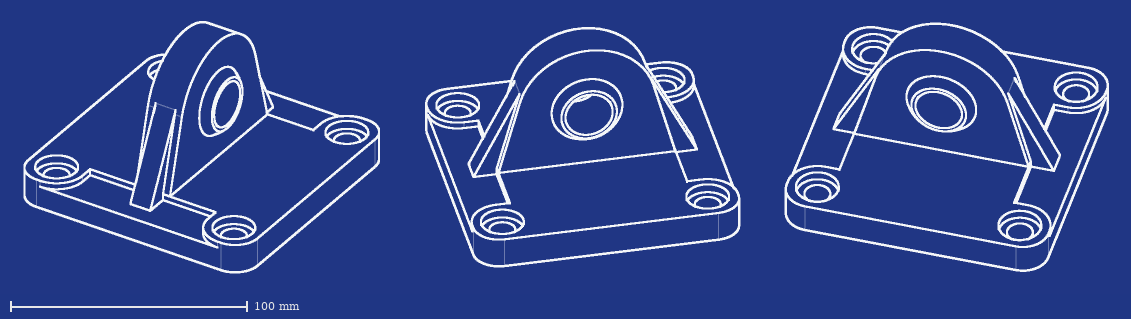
import cadquery as cq
import math

plate_side = 115.0
plate_thickness = 13.8
plate_corner_radius = 11.2
overall_height = 71.0

hole_offset = 44.5
hole_diameter = 11.0
counterbore_diameter = 18.2
counterbore_depth = 4.0

recess_depth = 3.0
recess_inner_y = 38.4
pad_radius = plate_side / 2 - hole_offset
recess_floor = plate_thickness - recess_depth

lug_thickness = 17.0
lug_radius = 30.0
flank_angle = math.radians(15)
eye_height = overall_height - lug_radius

rib_thickness = 10.0
rib_foot_y = 48.4
rib_top_y = 28.4
rib_top_z = eye_height + math.sqrt(lug_radius**2 - rib_top_y**2)

ball_diameter = 35.1
ball_width = 25.5
bore_diameter = 20.5


def make_plate():
    return (
        cq.Workplane("XY")
        .box(plate_side, plate_side, plate_thickness, centered=(True, True, False))
        .edges("|Z")
        .fillet(plate_corner_radius)
    )


def make_recess():
    """Recess at the +Y edge, curving around the two corner screw pads."""
    half_width = hole_offset - pad_radius
    edge_y = plate_side / 2
    diagonal = pad_radius * math.sqrt(0.5)
    arc_x = hole_offset - diagonal
    arc_y = hole_offset + diagonal
    return (
        cq.Workplane("XY", origin=(0, 0, recess_floor))
        .moveTo(-half_width, recess_inner_y)
        .lineTo(half_width, recess_inner_y)
        .lineTo(half_width, hole_offset)
        .threePointArc((arc_x, arc_y), (hole_offset, edge_y))
        .lineTo(-hole_offset, edge_y)
        .threePointArc((-arc_x, arc_y), (-half_width, hole_offset))
        .close()
        .extrude(recess_depth)
    )


def make_lug():
    """Lug whose flanks are tangent to its round head."""
    tangent_y = lug_radius * math.cos(flank_angle)
    tangent_z = eye_height + lug_radius * math.sin(flank_angle)
    foot_y = tangent_y + (tangent_z - plate_thickness) * math.tan(flank_angle)
    return (
        cq.Workplane("YZ")
        .moveTo(-foot_y, recess_floor)
        .lineTo(-foot_y, plate_thickness)
        .lineTo(-tangent_y, tangent_z)
        .threePointArc((0, overall_height), (tangent_y, tangent_z))
        .lineTo(foot_y, plate_thickness)
        .lineTo(foot_y, recess_floor)
        .close()
        .extrude(lug_thickness / 2, both=True)
    )


def make_ribs():
    """Central web forming a sloping rib on each side of the lug."""
    return (
        cq.Workplane("YZ")
        .polyline([
            (-rib_foot_y, recess_floor),
            (rib_foot_y, recess_floor),
            (rib_top_y, rib_top_z),
            (-rib_top_y, rib_top_z),
        ])
        .close()
        .extrude(rib_thickness / 2, both=True)
    )


def make_ball():
    """Ball with flat end faces, revolved about the X axis of the eye."""
    half_width = ball_width / 2
    ball_radius = ball_diameter / 2
    end_radius = math.sqrt(ball_radius**2 - half_width**2)
    return (
        cq.Workplane("XZ", origin=(0, 0, eye_height))
        .moveTo(-half_width, 0)
        .lineTo(-half_width, end_radius)
        .threePointArc((0, ball_radius), (half_width, end_radius))
        .lineTo(half_width, 0)
        .close()
        .revolve(360, (0, 0), (1, 0))
    )


def make_bore():
    """Pin bore along X through the ball."""
    return (
        cq.Workplane("YZ", origin=(0, 0, eye_height))
        .circle(bore_diameter / 2)
        .extrude(ball_width, both=True)
    )


def make_screw_holes():
    """Counterbored through holes at the four plate corners."""
    corners = cq.Workplane("XY").rect(2 * hole_offset, 2 * hole_offset, forConstruction=True).vertices()
    through = corners.circle(hole_diameter / 2).extrude(plate_thickness)
    counterbores = corners.circle(counterbore_diameter / 2).extrude(counterbore_depth)
    return through.union(counterbores.translate((0, 0, plate_thickness - counterbore_depth)))


recess = make_recess()
plate = make_plate().cut(recess).cut(recess.mirror("XZ")).cut(make_screw_holes())
bracket = plate.union(make_lug()).union(make_ribs()).union(make_ball())
result = bracket.cut(make_bore())